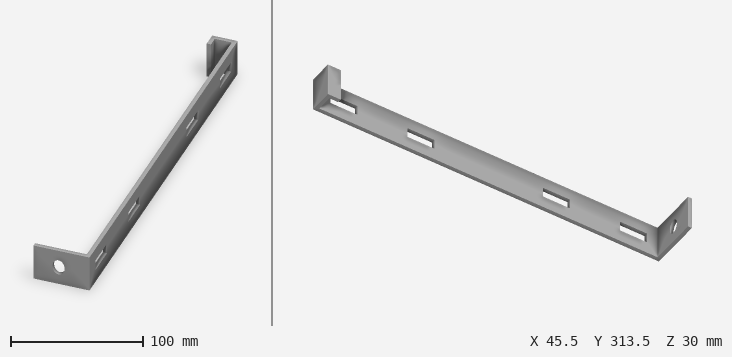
import cadquery as cq

length = 313.5
foot_width = 45.5
height = 30.0
thickness = 3.5
hook_width = 20.7
lip_length = 11.5
outer_bend_radius = 0.3

slot_group_center = 156.5
slot_length = 24.5
slot_height = 8.8
slot_pitch = 70.0
inner_slot_spacing = 123.0

hole_width = 9.7
hole_height = 13.0
hole_from_free_edge = 20.5

hook_left = foot_width - hook_width
wall_inner = foot_width - thickness
hook_inner = hook_left + thickness
end_inner = length - thickness


def make_strip():
    """Continuous strip with tight bends, square inside and slightly rounded outside."""
    outline = [
        (0, 0),
        (foot_width, 0),
        (foot_width, length),
        (hook_left, length),
        (hook_left, length - lip_length),
        (hook_inner, length - lip_length),
        (hook_inner, end_inner),
        (wall_inner, end_inner),
        (wall_inner, thickness),
        (0, thickness),
    ]
    strip = cq.Workplane("XY").polyline(outline).close().extrude(height)
    outer_corners = [(foot_width, 0), (foot_width, length), (hook_left, length)]
    for x, y in outer_corners:
        corner_edge = cq.selectors.NearestToPointSelector((x, y, height / 2))
        strip = strip.edges("|Z").edges(corner_edge).fillet(outer_bend_radius)
    return strip


def make_wall_slots():
    inner_offset = inner_slot_spacing / 2
    outer_offset = inner_offset + slot_pitch
    centers = [
        (foot_width - thickness / 2, slot_group_center + side * offset, height / 2)
        for side in (-1, 1)
        for offset in (inner_offset, outer_offset)
    ]
    return cq.Workplane("XY").pushPoints(centers).box(2 * thickness, slot_length, slot_height)


def make_foot_hole():
    return (
        cq.Workplane("XZ")
        .center(hole_from_free_edge, height / 2)
        .ellipse(hole_width / 2, hole_height / 2)
        .extrude(-thickness)
    )


result = make_strip().cut(make_wall_slots()).cut(make_foot_hole())